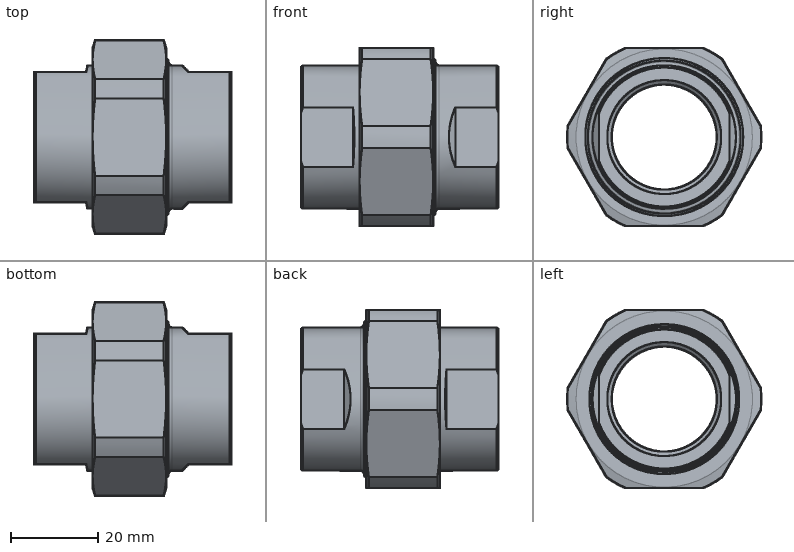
import cadquery as cq
import math

LENGTH = 45.5
BARREL_R = 33.0 / 2
BORE_R = 24.1 / 2
END_CHAMFER = 0.5
BORE_CHAMFER = 1.05

FLAT_HALF_WIDTH = 15.0
FLAT_DEPTH = BARREL_R - FLAT_HALF_WIDTH
TAIL_FLAT_LENGTH = 12.0
TAIL_FLAT_RUNOUT = 0.3
THREADED_FLAT_LENGTH = 9.95
THREADED_FLAT_RUNOUT = FLAT_DEPTH

NUT_START = 13.45
NUT_LENGTH = 17.0
NUT_END = NUT_START + NUT_LENGTH
NUT_ACROSS_FLATS = 41.0
NUT_CORNER_R = 44.7 / 2
NUT_FACE_R = 40.55 / 2
NUT_CHAMFER_LENGTH = 0.65
LIP_BORE_R = 33.5 / 2
LIP_CHAMFER = 0.5
LIP_THICKNESS = 2.75

THREAD_R = 36.35 / 2
FLANGE_R = 36.0 / 2
FLANGE_THICKNESS = 2.75
FLANGE_START = NUT_START + LIP_THICKNESS
JOINT = FLANGE_START + FLANGE_THICKNESS
COLLAR_END = NUT_END + 0.5
COLLAR_CHAMFER = 0.6
COLLAR_FILLET = 0.77


def revolve_profile(sketch):
    """Revolve a closed (x, radius) profile around the X axis."""
    return sketch.close().revolve(360, (0, 0, 0), (1, 0, 0))


def flat_cutters(end, direction, length, runout):
    """Two blocks that cut the flats from a barrel end, with sloped inner ends."""
    inner = end + direction * length
    outline = [
        (end, FLAT_HALF_WIDTH),
        (inner, FLAT_HALF_WIDTH),
        (inner + direction * 2 * runout, FLAT_HALF_WIDTH + 2 * FLAT_DEPTH),
        (end, FLAT_HALF_WIDTH + 2 * FLAT_DEPTH),
    ]
    upper = cq.Workplane("XY").polyline(outline).close().extrude(BARREL_R, both=True)
    return upper.union(upper.mirror("XZ"))


def make_tailpiece():
    """Left barrel with the flange that the nut lip pulls on."""
    profile = (
        cq.Workplane("XY")
        .moveTo(0, BORE_R + BORE_CHAMFER)
        .lineTo(0, BARREL_R - END_CHAMFER)
        .lineTo(END_CHAMFER, BARREL_R)
        .lineTo(FLANGE_START, BARREL_R)
        .lineTo(FLANGE_START, FLANGE_R)
        .lineTo(JOINT, FLANGE_R)
        .lineTo(JOINT, BORE_R)
        .lineTo(BORE_CHAMFER, BORE_R)
    )
    return revolve_profile(profile).cut(flat_cutters(0, 1, TAIL_FLAT_LENGTH, TAIL_FLAT_RUNOUT))


def make_threaded_end():
    """Right barrel with the collar that fills the nut, filleted into the barrel."""
    arc_middle = COLLAR_FILLET * (1 - math.sqrt(0.5))
    profile = (
        cq.Workplane("XY")
        .moveTo(JOINT, BORE_R)
        .lineTo(JOINT, THREAD_R)
        .lineTo(COLLAR_END - COLLAR_CHAMFER, THREAD_R)
        .lineTo(COLLAR_END, THREAD_R - COLLAR_CHAMFER)
        .lineTo(COLLAR_END, BARREL_R + COLLAR_FILLET)
        .threePointArc(
            (COLLAR_END + arc_middle, BARREL_R + arc_middle),
            (COLLAR_END + COLLAR_FILLET, BARREL_R),
        )
        .lineTo(LENGTH - END_CHAMFER, BARREL_R)
        .lineTo(LENGTH, BARREL_R - END_CHAMFER)
        .lineTo(LENGTH, BORE_R + BORE_CHAMFER)
        .lineTo(LENGTH - BORE_CHAMFER, BORE_R)
    )
    return revolve_profile(profile).cut(
        flat_cutters(LENGTH, -1, THREADED_FLAT_LENGTH, THREADED_FLAT_RUNOUT)
    )


def make_nut():
    """Hexagon with flats facing +Z and -Z, trimmed by a turned, chamfered ring."""
    across_corners = NUT_ACROSS_FLATS / math.cos(math.pi / 6)
    hexagon = (
        cq.Workplane("YZ")
        .workplane(offset=NUT_START)
        .polygon(6, across_corners)
        .extrude(NUT_LENGTH)
    )
    ring = (
        cq.Workplane("XY")
        .moveTo(NUT_START, LIP_BORE_R + LIP_CHAMFER)
        .lineTo(NUT_START, NUT_FACE_R)
        .lineTo(NUT_START + NUT_CHAMFER_LENGTH, NUT_CORNER_R)
        .lineTo(NUT_END - NUT_CHAMFER_LENGTH, NUT_CORNER_R)
        .lineTo(NUT_END, NUT_FACE_R)
        .lineTo(NUT_END, THREAD_R)
        .lineTo(FLANGE_START, THREAD_R)
        .lineTo(FLANGE_START, LIP_BORE_R)
        .lineTo(NUT_START + LIP_CHAMFER, LIP_BORE_R)
    )
    return hexagon.intersect(revolve_profile(ring))


tailpiece = make_tailpiece()
threaded_end = make_threaded_end()
nut = make_nut()

bodies = [body.solids().val() for body in (tailpiece, threaded_end, nut)]
result = cq.Compound.makeCompound(bodies)